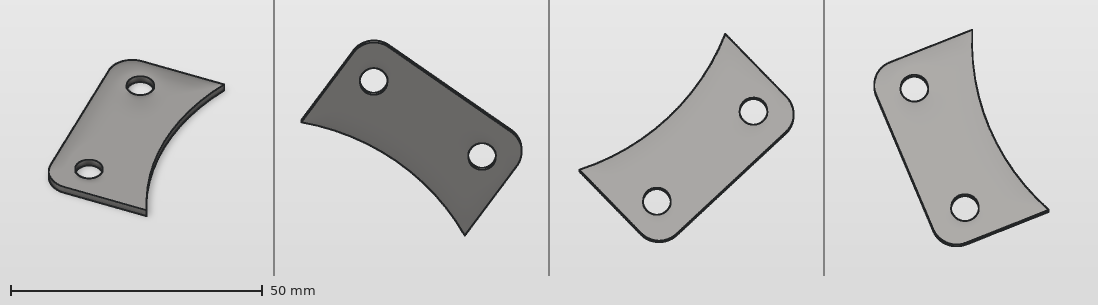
import cadquery as cq
import math

length = 40.0
edge_width = 22.74
thickness = 1.62
corner_radius = 5.0

arc_radius = 46.5

hole_diameter = 5.5
hole_inset = 7.5
hole_spacing = 26.5

half_length = length / 2
arc_depth = arc_radius - math.sqrt(arc_radius**2 - half_length**2)
waist_width = edge_width - arc_depth


def make_plate():
    """Flat plate with a straight edge at X = 0 and a concave edge opposite."""
    plate = (
        cq.Workplane("XY")
        .moveTo(0, -half_length)
        .lineTo(edge_width, -half_length)
        .threePointArc((waist_width, 0), (edge_width, half_length))
        .lineTo(0, half_length)
        .close()
        .extrude(thickness)
    )
    return plate.edges("|Z and <X").fillet(corner_radius)


def drill_holes(plate):
    """Two through holes, placed symmetrically about the X axis."""
    hole_centres = [(hole_inset, side * hole_spacing / 2) for side in (-1, 1)]
    return plate.faces(">Z").workplane(origin=(0, 0, 0)).pushPoints(hole_centres).hole(hole_diameter)


result = drill_holes(make_plate())